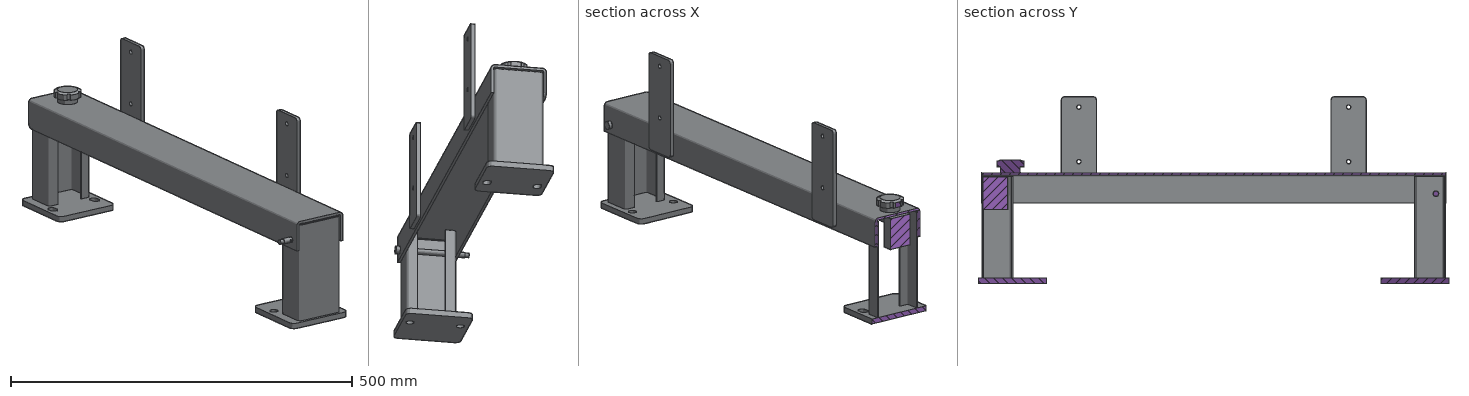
import cadquery as cq

TOTAL_LENGTH = 690.0
TOTAL_HEIGHT = 274.0

FOOT_SIDE = 100.0
FOOT_THICKNESS = 8.0
FOOT_CORNER_RADIUS = 8.0
FOOT_HOLE_DIAMETER = 12.0
FOOT_HOLE_SPACING = 75.0
FOOT_HOLE_FROM_INNER_EDGE = 35.0
FOOT_SLOT_LENGTH = 16.5

POST_DEPTH = 46.0
POST_WALL = 2.5
POST_CORNER_RADIUS = 6.0
POST_LIP = 16.5
END_INSET = 5.0

BEAM_WIDTH = 83.0
BEAM_HEIGHT = 45.0
BEAM_TOP = 163.0
BEAM_WALL = 4.0
BEAM_BEND_RADIUS = 6.0
BEAM_CORNER_RADIUS = 8.0

BRACKET_WIDTH = 52.0
BRACKET_HEIGHT = 150.5
BRACKET_THICKNESS = 6.0
BRACKET_SPACING = 395.5
BRACKET_CORNER_RADIUS = 5.0
BRACKET_HOLE_DIAMETER = 6.0
BRACKET_HOLE_SPACING = 80.0
BRACKET_HOLE_FROM_TOP = 15.0

KNOB_X = 47.0
KNOB_Y = 52.0
KNOB_STEM_DIAMETER = 30.0
KNOB_STEM_HEIGHT = 8.0
KNOB_HEAD_DIAMETER = 40.0
KNOB_HEAD_HEIGHT = 10.5
KNOB_CHAMFER_HEIGHT = 2.0
KNOB_TOP_DIAMETER = 30.0
KNOB_GROOVE_COUNT = 6
KNOB_GROOVE_DIAMETER = 5.0

BOX_SIDE = 36.0
BOX_BOTTOM = 108.0
BOX_Y = 47.5

PIN_X = 671.0
PIN_Z = 132.0
PIN_DIAMETER = 8.0
PIN_HEAD_DIAMETER = 12.0
PIN_TIP_DIAMETER = 7.0
PIN_TIP_LENGTH = 6.0
PIN_FRONT = -10.0
PIN_CROSS_HOLE_DIAMETER = 2.5
PIN_CROSS_HOLE_Y = 8.0

MIDDLE_X = TOTAL_LENGTH / 2
BEAM_REAR = FOOT_SIDE - BRACKET_THICKNESS
BEAM_FRONT = BEAM_REAR - BEAM_WIDTH
BEAM_Y = (BEAM_FRONT + BEAM_REAR) / 2
BEAM_BOTTOM = BEAM_TOP - BEAM_HEIGHT
BEAM_LENGTH = TOTAL_LENGTH - 2 * END_INSET
BEAM_INNER_TOP = BEAM_TOP - BEAM_WALL
POST_WIDTH = BEAM_WIDTH - 2 * BEAM_WALL
BEAM_INNER_RADIUS = BEAM_BEND_RADIUS - BEAM_WALL
POST_TOP = BEAM_INNER_TOP - BEAM_INNER_RADIUS


def box(x_min, x_max, y_min, y_max, z_min, z_max):
    """Box between the given limits."""
    return cq.Workplane("XY").box(
        x_max - x_min, y_max - y_min, z_max - z_min, centered=False
    ).translate((x_min, y_min, z_min))


def cylinder_along_y(x, z, diameter, y_min, y_max):
    """Cylinder with its axis along Y."""
    return (
        cq.Workplane("XZ", origin=(x, y_min, z))
        .circle(diameter / 2)
        .extrude(-(y_max - y_min))
    )


def make_post():
    """Lipped channel of the left leg, open towards +X."""
    x_min = END_INSET
    x_max = END_INSET + POST_DEPTH
    y_min = BEAM_Y - POST_WIDTH / 2
    y_max = BEAM_Y + POST_WIDTH / 2
    outside = box(x_min, x_max, y_min, y_max, FOOT_THICKNESS, POST_TOP)
    outside = outside.edges("|Z").fillet(POST_CORNER_RADIUS)
    inside = box(
        x_min + POST_WALL, x_max - POST_WALL,
        y_min + POST_WALL, y_max - POST_WALL,
        FOOT_THICKNESS, POST_TOP,
    )
    inside = inside.edges("|Z").fillet(POST_CORNER_RADIUS - POST_WALL)
    opening = box(
        x_max - POST_WALL, x_max,
        y_min + POST_LIP, y_max - POST_LIP,
        FOOT_THICKNESS, POST_TOP,
    )
    return outside.cut(inside).cut(opening)


def make_foot(holes):
    """Foot plate of the left leg, with the given hole cutters through it."""
    plate = box(0, FOOT_SIDE, 0, FOOT_SIDE, 0, FOOT_THICKNESS)
    return plate.edges("|Z").fillet(FOOT_CORNER_RADIUS).cut(holes)


def foot_hole_places():
    """Workplane on the foot's underside with a point at each hole centre."""
    x = FOOT_SIDE - FOOT_HOLE_FROM_INNER_EDGE
    offset = FOOT_HOLE_SPACING / 2
    middle = FOOT_SIDE / 2
    return cq.Workplane("XY").pushPoints([(x, middle - offset), (x, middle + offset)])


def make_left_leg():
    """Post and foot plate with slots along X."""
    slots = foot_hole_places().slot2D(FOOT_SLOT_LENGTH, FOOT_HOLE_DIAMETER).extrude(FOOT_THICKNESS)
    return make_post().union(make_foot(slots))


def make_right_leg():
    """Mirrored post and foot plate with round holes; the pin passes through the post."""
    holes = foot_hole_places().circle(FOOT_HOLE_DIAMETER / 2).extrude(FOOT_THICKNESS)
    leg = make_post().union(make_foot(holes))
    leg = leg.mirror("YZ", (MIDDLE_X, 0, 0))
    return leg.cut(pin_hole())


def pin_hole():
    """Cutter for the pin's shank through the beam and the right post."""
    return cylinder_along_y(PIN_X, PIN_Z, PIN_DIAMETER, BEAM_FRONT, BEAM_REAR)


def make_beam():
    """U channel with a rounded lower corner at the front left."""
    x_min = END_INSET
    x_max = END_INSET + BEAM_LENGTH
    outside = box(x_min, x_max, BEAM_FRONT, BEAM_REAR, BEAM_BOTTOM, BEAM_TOP)
    outside = outside.edges("|X and >Z").fillet(BEAM_BEND_RADIUS)
    inside = box(
        x_min, x_max,
        BEAM_FRONT + BEAM_WALL, BEAM_REAR - BEAM_WALL,
        BEAM_BOTTOM, BEAM_INNER_TOP,
    )
    inside = inside.edges("|X and >Z").fillet(BEAM_INNER_RADIUS)
    beam = outside.cut(inside)
    beam = beam.edges("|Y and <X and <Z").edges("<Y").fillet(BEAM_CORNER_RADIUS)
    return beam.cut(pin_hole())


def make_bracket(x):
    """Upright plate centred at x, with two holes and rounded corners."""
    z_min = TOTAL_HEIGHT - BRACKET_HEIGHT
    plate = box(
        x - BRACKET_WIDTH / 2, x + BRACKET_WIDTH / 2,
        BEAM_REAR, BEAM_REAR + BRACKET_THICKNESS,
        z_min, TOTAL_HEIGHT,
    )
    plate = plate.edges("|Y").fillet(BRACKET_CORNER_RADIUS)
    top_hole = TOTAL_HEIGHT - BRACKET_HOLE_FROM_TOP
    for z in (top_hole, top_hole - BRACKET_HOLE_SPACING):
        hole = cylinder_along_y(
            x, z, BRACKET_HOLE_DIAMETER, BEAM_REAR, BEAM_REAR + BRACKET_THICKNESS
        )
        plate = plate.cut(hole)
    return plate


def make_knob():
    """Round stem and a bevelled head with grooves around its rim."""
    stem_radius = KNOB_STEM_DIAMETER / 2
    head_radius = KNOB_HEAD_DIAMETER / 2
    top_radius = KNOB_TOP_DIAMETER / 2
    head_top = KNOB_STEM_HEIGHT + KNOB_HEAD_HEIGHT
    knob = (
        cq.Workplane("XZ")
        .moveTo(0, 0)
        .lineTo(stem_radius, 0)
        .lineTo(stem_radius, KNOB_STEM_HEIGHT)
        .lineTo(head_radius, KNOB_STEM_HEIGHT)
        .lineTo(head_radius, head_top - KNOB_CHAMFER_HEIGHT)
        .lineTo(top_radius, head_top)
        .lineTo(0, head_top)
        .close()
        .revolve(360, (0, 0), (0, 1))
    )
    grooves = (
        cq.Workplane("XY", origin=(0, 0, KNOB_STEM_HEIGHT))
        .polarArray(head_radius, 90, 360, KNOB_GROOVE_COUNT)
        .circle(KNOB_GROOVE_DIAMETER / 2)
        .extrude(KNOB_HEAD_HEIGHT)
    )
    return knob.cut(grooves).translate((KNOB_X, KNOB_Y, BEAM_TOP))


def make_inner_box():
    """Box standing against the inside of the left post, under its top."""
    x_min = END_INSET + POST_WALL
    return box(
        x_min, x_min + BOX_SIDE,
        BOX_Y - BOX_SIDE / 2, BOX_Y + BOX_SIDE / 2,
        BOX_BOTTOM, POST_TOP,
    )


def make_pin():
    """Shank with a head at the rear, a thinner tip at the front and a cross hole."""
    tip_end = PIN_FRONT + PIN_TIP_LENGTH
    pin = cylinder_along_y(PIN_X, PIN_Z, PIN_DIAMETER, tip_end, BEAM_REAR)
    pin = pin.union(cylinder_along_y(PIN_X, PIN_Z, PIN_TIP_DIAMETER, PIN_FRONT, tip_end))
    pin = pin.union(cylinder_along_y(PIN_X, PIN_Z, PIN_HEAD_DIAMETER, BEAM_REAR, FOOT_SIDE))
    cross_hole = (
        cq.Workplane("YZ", origin=(PIN_X, PIN_CROSS_HOLE_Y, PIN_Z))
        .circle(PIN_CROSS_HOLE_DIAMETER / 2)
        .extrude(PIN_DIAMETER, both=True)
    )
    return pin.cut(cross_hole)


beam = make_beam()
left_leg = make_left_leg()
right_leg = make_right_leg()
brackets = [make_bracket(MIDDLE_X + side * BRACKET_SPACING / 2) for side in (-1, 1)]
knob = make_knob()
inner_box = make_inner_box()
pin = make_pin()

result = cq.Compound.makeCompound([
    beam.val(),
    left_leg.val(),
    right_leg.val(),
    *[bracket.val() for bracket in brackets],
    knob.val(),
    inner_box.val(),
    pin.val(),
])